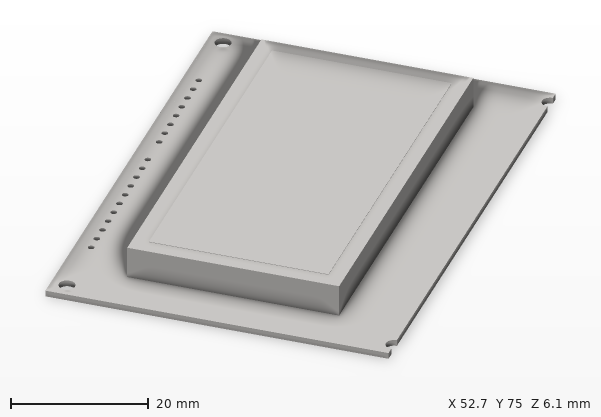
import cadquery as cq

board_width = 52.7
board_length = 75.0
board_thickness = 1.0

total_height = 6.1
screen_thickness = 0.1
frame_width = 32.55
frame_length = 60.2
frame_left_margin = 10.05
screen_border = 2.5

mount_diameter = 2.5
hole_inset = 2.5
pin_diameter = 1.0
pin_row_length = 48.3
pin_count = 20
plain_pin_index = 11
pin_pitch = pin_row_length / (pin_count - 1)

screen_bottom = total_height - screen_thickness
frame_x = frame_left_margin + frame_width / 2 - board_width / 2
hole_x = hole_inset - board_width / 2
mount_y = board_length / 2 - hole_inset


def block(width, length, bottom, top, x=0):
    """Upright block centred on (x, 0), spanning bottom to top in Z."""
    return (
        cq.Workplane("XY", origin=(x, 0, bottom))
        .rect(width, length)
        .extrude(top - bottom)
    )


def board_cutters(points, diameter):
    """Cylinders that pass through the board at the given points."""
    return (
        cq.Workplane("XY")
        .pushPoints(points)
        .circle(diameter / 2)
        .extrude(board_thickness)
    )


board = block(board_width, board_length, 0, board_thickness)

mount_points = [(x, y) for x in (hole_x, board_width / 2) for y in (-mount_y, mount_y)]
board = board.cut(board_cutters(mount_points, mount_diameter))

pin_points = [
    (hole_x, i * pin_pitch - pin_row_length / 2)
    for i in range(pin_count)
    if i != plain_pin_index
]
board = board.cut(board_cutters(pin_points, pin_diameter))

frame = block(frame_width, frame_length, board_thickness, screen_bottom, frame_x)
screen = block(
    frame_width - 2 * screen_border,
    frame_length - 2 * screen_border,
    screen_bottom,
    total_height,
    frame_x,
)

result = board.union(frame).union(screen)